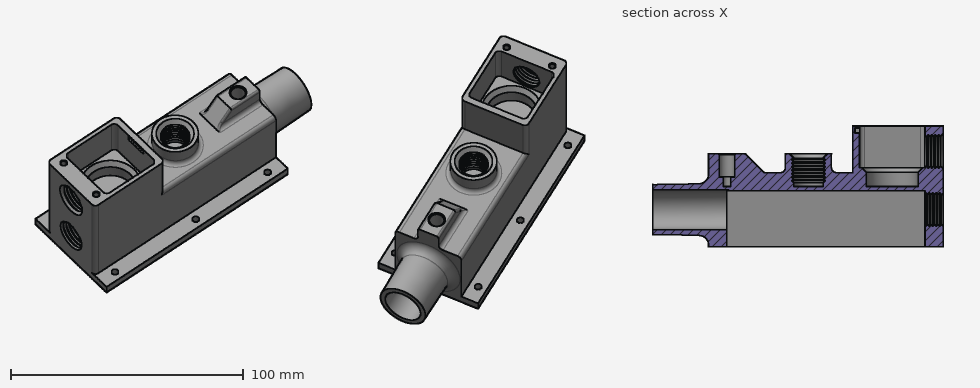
import cadquery as cq
import math

wall = 2.0
edge_radius = 2.0
small_radius = 1.0
eps = 0.6

base_width = 48.0
base_length = 101.0
base_thickness = 4.0
base_hole_dia = 3.0
base_hole_x = 20.0
base_hole_ys = (8.0, 53.0, 93.0)

body_width = 32.0
body_top = 32.0
tower_top = 52.0
tower_length = 39.0
end_wall = 8.0

pocket_size = body_width - 2 * wall
pocket_floor = 34.0
pocket_y = end_wall + pocket_size / 2
well_dia = 22.0
well_mouth_dia = 26.0
blind_floor = 26.0
slot_width = 10.0
slot_height = 2.0
slot_depth = 2.0
slot_drop = 1.0
slot_bottom = tower_top - slot_drop - slot_height

chamber_top = blind_floor - wall

port_dia = 12.5
port_root_dia = 14.2
port_pitch = 1.5
port_runout = 0.2
lower_port_z = 16.0
upper_port_z = 41.0
upper_port_mouth_dia = 15.0

boss_y = 58.0
boss_dia = 20.0
boss_top = 40.0
boss_mouth_dia = 16.2

rib_width = 10.0
rib_flat_length = 16.0
rib_hole_y = 93.0
rib_hole_dia = 6.4
rib_hole_mouth_dia = 7.4
rib_hole_depth = 10.0
rib_pilot_dia = 3.0

screw_x = 11.0
screw_y = 5.0
screw_dia = 2.5
screw_mouth_dia = 3.1
screw_depth = 6.0

spigot_length = 24.0
spigot_flare = 4.0
spigot_root_dia = 22.5
spigot_end_dia = 21.8
spigot_bore_dia = 17.0


def block(width, y_start, y_end, z_bottom, z_top):
    """Box centred on X = 0."""
    box = cq.Workplane("XY").box(width, y_end - y_start, z_top - z_bottom, centered=(True, False, False))
    return box.translate((0, y_start, z_bottom))


def turned(profile):
    """Solid of revolution about Z from (radius, z) points."""
    return cq.Workplane("XZ").polyline(profile).close().revolve(360, (0, 0), (0, 1))


def arc_middle(radius):
    """Offset of a quarter fillet's middle point from both faces that it joins."""
    return radius * (1 - math.sqrt(0.5))


def bore(dia, depth, mouth_dia=None):
    """Blind bore going down from Z = 0, with an optional 45 degree mouth."""
    profile = [(0, eps)]
    if mouth_dia:
        mouth_depth = (mouth_dia - dia) / 2
        profile += [(mouth_dia / 2, eps), (mouth_dia / 2, 0), (dia / 2, -mouth_depth)]
    else:
        profile.append((dia / 2, eps))
    profile += [(dia / 2, -depth), (0, -depth)]
    return turned(profile)


def threaded_bore(depth, mouth_dia):
    """Port bore with ring-shaped V grooves below a 45 degree mouth."""
    crest = port_dia / 2
    root = port_root_dia / 2
    mouth = mouth_dia / 2
    mouth_depth = mouth - crest
    groove_count = math.floor((depth - mouth_depth - port_runout) / port_pitch)
    profile = [(0, eps), (mouth, eps), (mouth, 0), (crest, -mouth_depth)]
    for i in range(groove_count):
        groove_top = mouth_depth + i * port_pitch
        profile.append((root, -groove_top - port_pitch / 2))
        profile.append((crest, -groove_top - port_pitch))
    profile += [(crest, -depth), (0, -depth)]
    return turned(profile)


def facing_front(tool, z):
    """Turn a downward tool so that it enters the Y = 0 face at height z."""
    return tool.rotate((0, 0, 0), (1, 0, 0), 90).translate((0, 0, z))


def make_housing():
    base = block(base_width, 0, base_length, 0, base_thickness)
    tower = block(body_width, 0, tower_length, base_thickness, tower_top)
    tower = tower.edges("|Z").fillet(edge_radius)
    body = block(body_width, tower_length / 2, base_length, base_thickness, body_top)
    body = body.edges("|Y and >Z").fillet(edge_radius)
    core = block(body_width, tower_length / 2, tower_length, base_thickness, body_top - edge_radius)
    return base.union(body).union(tower).union(core)


def make_boss():
    radius = boss_dia / 2
    flare = edge_radius
    mid = arc_middle(flare)
    return (
        cq.Workplane("XZ")
        .moveTo(0, body_top - wall)
        .lineTo(radius + flare, body_top - wall)
        .lineTo(radius + flare, body_top)
        .threePointArc((radius + mid, body_top + mid), (radius, body_top + flare))
        .lineTo(radius, boss_top)
        .lineTo(0, boss_top)
        .close()
        .revolve(360, (0, 0), (0, 1))
        .translate((0, boss_y, 0))
    )


def make_rib():
    half = rib_width / 2
    flare = edge_radius
    mid = arc_middle(flare)
    rise = boss_top - body_top
    rib_length = rib_flat_length + rise
    section = (
        cq.Workplane("XZ", origin=(0, base_length, 0))
        .moveTo(-half - flare, body_top)
        .threePointArc((-half - mid, body_top + mid), (-half, body_top + flare))
        .lineTo(-half, boss_top)
        .lineTo(half, boss_top)
        .lineTo(half, body_top + flare)
        .threePointArc((half + mid, body_top + mid), (half + flare, body_top))
        .close()
        .extrude(rib_length)
    )
    front = base_length - rib_length
    ramp = (
        cq.Workplane("YZ")
        .polyline([(front, body_top), (front, boss_top), (front + rise, boss_top)])
        .close()
        .extrude(base_width / 2, both=True)
    )
    rib = section.cut(ramp)
    long_edges = rib.edges("|Y and >Z").vals()
    slope_edges = rib.edges(cq.selectors.ParallelDirSelector(cq.Vector(0, 1, 1))).vals()
    return rib.newObject(long_edges + slope_edges).fillet(small_radius)


def make_spigot():
    root = spigot_root_dia / 2
    end = spigot_end_dia / 2
    flare = spigot_flare
    mid = arc_middle(flare)
    return (
        cq.Workplane("XY")
        .moveTo(0, -end_wall)
        .lineTo(root, -end_wall)
        .lineTo(root + flare, 0)
        .threePointArc((root + mid, mid), (root, flare))
        .lineTo(end, spigot_length)
        .lineTo(0, spigot_length)
        .close()
        .revolve(360, (0, 0), (0, 1))
        .translate((0, base_length, lower_port_z))
    )


def cut_pocket(part):
    pocket = block(pocket_size, end_wall, end_wall + pocket_size, pocket_floor, tower_top + eps)
    pocket = pocket.edges("|Z").fillet(edge_radius)
    well = bore(well_dia, pocket_floor - blind_floor, well_mouth_dia)
    rear = end_wall + pocket_size
    slot = block(slot_width, rear - eps, rear + slot_depth, slot_bottom, slot_bottom + slot_height)
    return part.cut(pocket).cut(well.translate((0, pocket_y, pocket_floor))).cut(slot)


def cut_chamber(part):
    chamber = block(pocket_size, end_wall, base_length - end_wall, -eps, chamber_top)
    bore_length = end_wall + spigot_length + 2 * eps
    spigot_bore = cq.Workplane("XZ").circle(spigot_bore_dia / 2).extrude(-bore_length)
    spigot_bore = spigot_bore.translate((0, base_length - end_wall - eps, lower_port_z))
    return part.cut(chamber).cut(spigot_bore)


def cut_ports(part):
    depth = end_wall + eps
    lower = threaded_bore(depth, port_root_dia)
    upper = threaded_bore(depth, upper_port_mouth_dia)
    top = threaded_bore(boss_top - blind_floor, boss_mouth_dia)
    part = part.cut(facing_front(lower, lower_port_z)).cut(facing_front(upper, upper_port_z))
    return part.cut(top.translate((0, boss_y, boss_top)))


def cut_small_holes(part):
    rib_hole = bore(rib_hole_dia, rib_hole_depth, rib_hole_mouth_dia)
    rib_hole = rib_hole.union(bore(rib_pilot_dia, boss_top - blind_floor))
    part = part.cut(rib_hole.translate((0, rib_hole_y, boss_top)))
    screw_hole = bore(screw_dia, screw_depth, screw_mouth_dia)
    base_hole = bore(base_hole_dia, base_thickness + eps)
    for side in (-1, 1):
        part = part.cut(screw_hole.translate((side * screw_x, screw_y, tower_top)))
        for y in base_hole_ys:
            part = part.cut(base_hole.translate((side * base_hole_x, y, base_thickness)))
    return part


result = make_housing().union(make_boss()).union(make_rib()).union(make_spigot())
for cut in (cut_pocket, cut_chamber, cut_ports, cut_small_holes):
    result = cut(result)